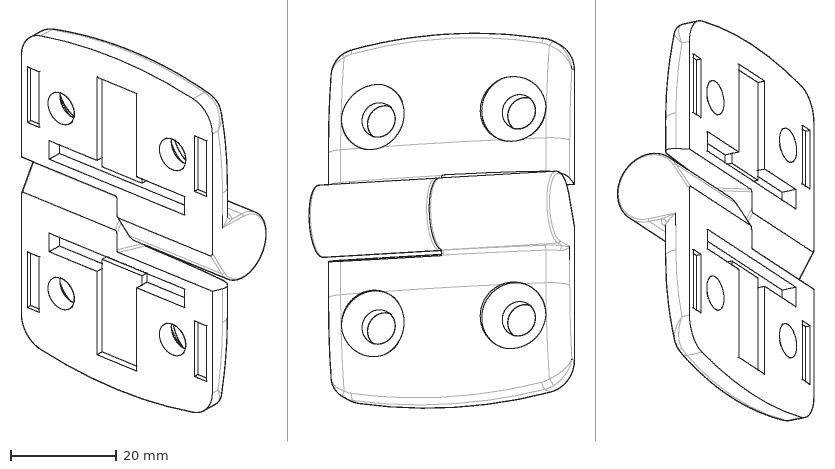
import cadquery as cq
import math

leaf_width = 48.0
half_width = leaf_width / 2
half_length = 35.75
end_radius = 100.0
corner_radius = 6.0
crown_height = 7.9
crown_radius_across = 200.0
crown_radius_along = 80.0
crown_flat_end = 14.0
side_round = 3.9
end_round = 1.5
bend_angle = 25.0

hinge_edge_z = 6.0
hinge_edge_rise = 1.8
hinge_edge_round = 0.4

barrel_radius = 6.9
barrel_y = 9.0
knuckle_foot_z = 1.45
knuckle_root_y = 3.0
knuckle_root_z = 9.0
knuckle_round = 0.4
knuckle_root_round = 0.8

hole_x = 14.0
hole_z = 20.0
hole_diameter = 6.6
screw_head_diameter = 12.8
countersink_start_y = 3.5
side_slot_x = 21.0
side_slot_size = (3.0, 12.0)
side_slot_depth = 1.0
pocket_size = (10.0, 20.0)
pocket_depth = 1.5
cross_slot_size = (34.0, 4.0)
cross_slot_z = 10.0
cross_slot_depth = 3.0

margin = 0.5


def block(size, x, z, depth):
    """Rectangular cutter that reaches into the leaf from the mounting face."""
    return (
        cq.Workplane("XY")
        .box(size[0], depth, size[1], centered=(True, False, True))
        .translate((x, 0, z))
    )


def crowned_bar():
    """Bar with a crowned top and rounded sides, straight at first and then bent down."""
    edge_height = crown_height - crown_radius_across + math.sqrt(crown_radius_across**2 - half_width**2)
    underside = -crown_height
    straight = (
        cq.Workplane("XY")
        .moveTo(-half_width, underside)
        .lineTo(half_width, underside)
        .lineTo(half_width, edge_height)
        .threePointArc((0, crown_height), (-half_width, edge_height))
        .close()
        .extrude(crown_flat_end)
        .edges("|Z")
        .edges(">Y")
        .fillet(side_round)
    )
    axis_y = crown_height - crown_radius_along
    bent = (
        cq.Workplane("XY", origin=(0, 0, crown_flat_end))
        .add(straight.faces(">Z").wires().vals())
        .toPending()
        .revolve(bend_angle, (0, axis_y, 0), (1, axis_y, 0))
    )
    return straight.union(bent)


def leaf_outline():
    """Leaf outline extruded beyond the crown, with the sloped face along the hinge edge."""
    end_side_z = half_length - end_radius + math.sqrt(end_radius**2 - half_width**2)
    outline = (
        cq.Workplane("XZ")
        .moveTo(-half_width, 0)
        .lineTo(half_width, 0)
        .lineTo(half_width, end_side_z)
        .threePointArc((0, half_length), (-half_width, end_side_z))
        .close()
        .extrude(-2 * crown_height)
        .edges("|Y")
        .edges(">Z")
        .fillet(corner_radius)
    )
    clearance = (
        cq.Workplane("YZ", origin=(-half_width, 0, 0))
        .polyline(
            [
                (0, 0),
                (0, hinge_edge_z),
                (2 * crown_height, hinge_edge_z + 2 * hinge_edge_rise),
                (2 * crown_height, 0),
            ]
        )
        .close()
        .extrude(half_width)
    )
    knuckle_space = (
        cq.Workplane("XY")
        .center(half_width, 0)
        .rect(leaf_width, 4 * crown_height)
        .extrude(barrel_radius - knuckle_round)
    )
    return outline.cut(clearance).cut(knuckle_space)


def knuckle():
    """Barrel with a tangent flat to the mounting face and a flat side facing the leaf."""
    foot_distance = math.hypot(barrel_y, knuckle_foot_z)
    to_foot = math.atan2(knuckle_foot_z, -barrel_y)
    tangent_angle = to_foot + math.acos(barrel_radius / foot_distance)

    def on_barrel(angle):
        return (barrel_y + barrel_radius * math.cos(angle), barrel_radius * math.sin(angle))

    body = (
        cq.Workplane("YZ")
        .moveTo(0, knuckle_foot_z)
        .lineTo(*on_barrel(tangent_angle))
        .threePointArc(on_barrel(0), (barrel_y, barrel_radius))
        .lineTo(knuckle_root_y, barrel_radius)
        .lineTo(knuckle_root_y, knuckle_root_z)
        .lineTo(0, knuckle_root_z)
        .close()
        .extrude(half_width)
    )
    exposed_edges = cq.selectors.BoxSelector(
        (-margin, margin, -barrel_radius),
        (half_width + margin, barrel_y + barrel_radius, barrel_radius + margin),
    )
    return body.faces("<X or >X").edges(exposed_edges).fillet(knuckle_round)


def screw_hole(x):
    """Through hole with a 90 degree countersink that opens into a head clearance."""
    hole_radius = hole_diameter / 2
    head_radius = screw_head_diameter / 2
    countersink_end_y = countersink_start_y + head_radius - hole_radius
    return (
        cq.Workplane("XY")
        .polyline(
            [
                (0, 0),
                (hole_radius, 0),
                (hole_radius, countersink_start_y),
                (head_radius, countersink_end_y),
                (head_radius, 2 * crown_height),
                (0, 2 * crown_height),
            ]
        )
        .close()
        .revolve(360, (0, 0, 0), (0, 1, 0))
        .translate((x, 0, hole_z))
    )


def mounting_cutters():
    """Screw holes and the recesses in the mounting face."""
    cutters = []
    for side in (-1, 1):
        cutters.append(screw_hole(side * hole_x))
        cutters.append(block(side_slot_size, side * side_slot_x, hole_z, side_slot_depth))
    cutters.append(block(pocket_size, 0, hole_z, pocket_depth))
    stop = block(pocket_size, 0, hole_z, cross_slot_depth)
    cutters.append(block(cross_slot_size, 0, cross_slot_z, cross_slot_depth).cut(stop))
    return cutters


def leaf():
    """Upper leaf: its plate fills Z > 0 and its knuckle fills X > 0."""
    end_edges = cq.selectors.BoxSelector(
        (-half_width + margin, margin, half_length - corner_radius - margin),
        (half_width - margin, crown_height, half_length),
    )
    knuckle_root_edges = cq.selectors.BoxSelector(
        (margin, knuckle_root_y + margin, barrel_radius - margin),
        (half_width - 2 * knuckle_round, crown_height + margin, barrel_radius + margin),
    )
    hinge_edge_corner = cq.selectors.BoxSelector(
        (-margin, margin, hinge_edge_z),
        (margin, crown_height - margin, hinge_edge_z + hinge_edge_rise),
    )
    body = crowned_bar().intersect(leaf_outline())
    body = body.edges(end_edges).fillet(end_round)
    body = body.union(knuckle())
    body = body.edges(hinge_edge_corner).fillet(hinge_edge_round)
    body = body.edges(knuckle_root_edges).fillet(knuckle_root_round)
    for cutter in mounting_cutters():
        body = body.cut(cutter)
    return body


upper_leaf = leaf()
lower_leaf = leaf().rotate((0, 0, 0), (0, 1, 0), 180)

result = cq.Compound.makeCompound([upper_leaf.val(), lower_leaf.val()])